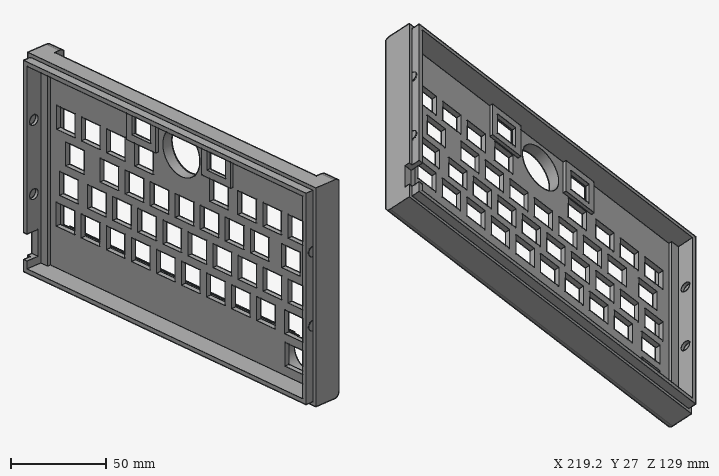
import cadquery as cq


width = 219.2
height = 129.0
back = 22.0
rim_depth = 5.0
rim_inset = 2.2
wall = 4.8
bottom_round = 3.3

plate_front = 12.0
plate_back = 15.1
ledge_front = 10.0
ledge_width = 5.3

eight_key_span = 152.4
pitch = eight_key_span / 8
key_size = 14.0
middle = width / 2
lowest_row_height = 17.3
corner_key_x = 195.3
top_key_offset = 28.5

dial_diameter = 28.0
dial_height = 107.2
collar_base_diameter = 30.3
collar_tip_diameter = 29.0
collar_back = 18.9

pad_size = 22.0
pad_bottom = 101.3
pad_wall = 2.0
pad_thickness = 2.5

recess_side = 10.0
recess_floor = 25.2
corner_key_clearance = 20.0

rail_start = 9.5
rail_end = 180.5
rail_bottom = 17.0
rail_height = 5.3
rail_back = 27.0

top_round_radius = 5.0
top_round_depth = 3.3

notch_bottom = 9.5
notch_top = 25.2
notch_depth = 8.1
dimple_diameter = 6.1
dimple_depth = 2.0
dimple_heights = (47.1, 90.8)
disc_relief = 0.1


def block(x, y, z):
    """Box spanning the given (start, end) ranges."""
    size = (x[1] - x[0], y[1] - y[0], z[1] - z[0])
    return cq.Workplane("XY").box(*size, centered=False).translate((x[0], y[0], z[0]))


def around(center, size):
    """(start, end) range of the given size around a center."""
    return (center - size / 2, center + size / 2)


def inset(total, margin):
    """(start, end) range that stays a margin away from both ends of a length."""
    return (margin, total - margin)


def cylinder_along_y(x, z, diameter, front, rear):
    plane = cq.Workplane("XZ", origin=(x, front, z))
    return plane.circle(diameter / 2).extrude(front - rear)


def cylinder_along_x(y, z, diameter, start, length):
    plane = cq.Workplane("YZ", origin=(start, y, z))
    return plane.circle(diameter / 2).extrude(length)


def tray_body():
    """Outer block with its rim and rounded back edges."""
    body = block((0, width), (rim_depth, back), (0, height))
    body = body.edges(">Y and <Z").fillet(bottom_round)
    rim = block(inset(width, rim_inset), (0, rim_depth), inset(height, rim_inset))
    round_start_y = back - top_round_depth
    round_center_z = height - top_round_radius
    corner = block((0, width), (round_start_y, back), (round_center_z, height))
    round_bar = cylinder_along_x(round_start_y, round_center_z, 2 * top_round_radius, 0, width)
    return body.union(rim).cut(corner.cut(round_bar))


def front_cavity():
    """Space in front of the plate, shallower over the ledge at each end."""
    inner_z = inset(height, wall)
    shallow = block(inset(width, wall), (0, ledge_front), inner_z)
    deep = block(inset(width, wall + ledge_width), (0, plate_front), inner_z)
    return shallow.union(deep)


def back_recess():
    """Space behind the plate, with round clearance down around the lowest key."""
    recess = block(inset(width, recess_side), (plate_back, back), (recess_floor, height))
    clearance = cylinder_along_y(
        corner_key_x, lowest_row_height, corner_key_clearance, plate_back, back
    )
    return recess.union(clearance)


def add_pad(tray, x):
    """Raise a pad in front of the plate and hollow it from behind."""
    pad = block(around(x, pad_size), (ledge_front, plate_front), (pad_bottom, height - wall))
    hollow = block(
        around(x, pad_size - 2 * pad_wall),
        (ledge_front + pad_thickness, plate_back),
        (pad_bottom + pad_wall, height - wall - pad_wall),
    )
    return tray.union(pad).cut(hollow)


def add_dial_opening(tray):
    """Round opening through the plate and its collar."""
    collar = (
        cq.Workplane("XZ", origin=(middle, plate_back, dial_height))
        .circle(collar_base_diameter / 2)
        .workplane(offset=plate_back - collar_back)
        .circle(collar_tip_diameter / 2)
        .loft()
    )
    opening = cylinder_along_y(middle, dial_height, dial_diameter, ledge_front, back)
    return tray.union(collar).cut(opening)


def key_run(first_x, count, gap_before=None, gap_after=None):
    """Centers of evenly spaced keys, with an optional lone key at each end."""
    centers = [first_x + pitch * step for step in range(count)]
    lone_keys = []
    if gap_before is not None:
        lone_keys.append(centers[0] - gap_before * pitch)
    if gap_after is not None:
        lone_keys.append(centers[-1] + gap_after * pitch)
    return centers + lone_keys


def mirrored_keys(gaps):
    """Centers of key pairs about the middle, each a gap outside the uppermost keys."""
    offsets = [top_key_offset + pitch * gap for gap in gaps]
    return [middle + side * offset for offset in offsets for side in (-1, 1)]


top_keys = mirrored_keys([0])

key_rows = [
    [corner_key_x],
    key_run(21.5, 9, gap_after=1.125),
    key_run(45.4, 9, gap_before=1.125),
    key_run(54.8, 7, gap_before=1.375, gap_after=1.25),
    mirrored_keys([0, 1.125, 2.125, 3.125]),
    top_keys,
]


def cut_keys(tray):
    for row, centers in enumerate(key_rows):
        row_range = around(lowest_row_height + pitch * row, key_size)
        for x in centers:
            tray = tray.cut(block(around(x, key_size), (ledge_front, plate_back), row_range))
    return tray


def add_wall_dimples(tray):
    """Dimples inside the side walls, with faint half discs on the rim outside."""
    rim_range = (0, rim_depth)
    left_dimple_start = wall - dimple_depth
    right_dimple_start = width - wall
    left_disc_start = rim_inset - disc_relief
    right_disc_start = width - rim_inset
    for z in dimple_heights:
        for start in (left_dimple_start, right_dimple_start):
            tray = tray.cut(cylinder_along_x(rim_depth, z, dimple_diameter, start, dimple_depth))
        for start in (left_disc_start, right_disc_start):
            disc = cylinder_along_x(rim_depth, z, dimple_diameter, start, disc_relief)
            rim_side = block((start, start + disc_relief), rim_range, (0, height))
            tray = tray.union(disc.intersect(rim_side))
    return tray


rail = block(
    (rail_start, rail_end), (back, rail_back), (rail_bottom, rail_bottom + rail_height)
)
notch = block((0, wall), (0, notch_depth), (notch_bottom, notch_top))

result = tray_body().cut(front_cavity()).cut(back_recess())
for pad_x in top_keys:
    result = add_pad(result, pad_x)
result = add_dial_opening(result)
result = cut_keys(result)
result = add_wall_dimples(result)
result = result.union(rail).cut(notch).solids()